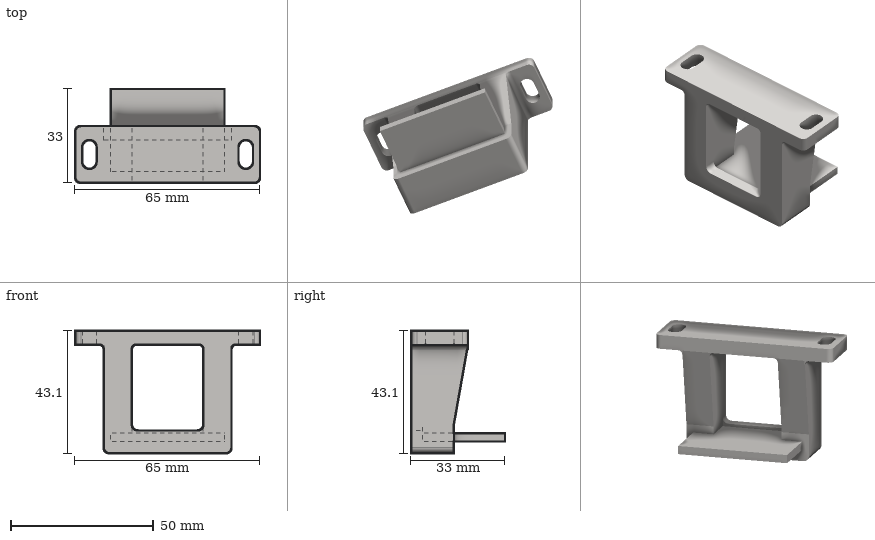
import cadquery as cq

flange_length = 65
flange_depth = 20.0
flange_thickness = 5.0
flange_corner_radius = 2.0
total_height = 43.15
flange_bottom = total_height - flange_thickness

slot_width = 5.0
slot_length = 10.0
slot_edge_margin = 2.55
slot_offset = flange_length / 2 - slot_edge_margin - slot_width / 2

frame_width = 45.0
frame_foot_depth = 15.0
taper_start_height = 9.95
frame_corner_radius = 2.0
flange_root_radius = 1.5

window_width = 25.0
window_height = 30.0
window_top_radius = 1.5
window_bottom_radius = 2.0
window_bottom = flange_bottom - window_height
sill_depth = 4.0

shelf_width = 40.0
shelf_thickness = 3.0
shelf_bottom = 4.1
shelf_top = shelf_bottom + shelf_thickness
shelf_back = 33.0


def block(width, front, back, bottom, top):
    """Box centred on X, spanning the given Y and Z limits."""
    return cq.Workplane("XY").box(
        width, back - front, top - bottom, centered=(True, False, False)
    ).translate((0, front, bottom))


def make_flange():
    flange = block(flange_length, 0, flange_depth, flange_bottom, total_height)
    return flange.edges("|Z").fillet(flange_corner_radius)


def make_frame():
    """Side profile with a tapered back, extruded across the frame width."""
    profile = [
        (0, 0),
        (frame_foot_depth, 0),
        (frame_foot_depth, taper_start_height),
        (flange_depth, flange_bottom),
        (0, flange_bottom),
    ]
    frame = cq.Workplane("YZ").polyline(profile).close().extrude(frame_width / 2, both=True)
    return frame.edges("|Y and <Z").fillet(frame_corner_radius)


def make_flange_root(side):
    """Concave fillet between one side of the frame and the flange underside."""
    wall = side * frame_width / 2
    arc_center_x = wall + side * flange_root_radius
    arc_center_z = flange_bottom - flange_root_radius
    corner = block(flange_root_radius, 0, flange_depth, arc_center_z, flange_bottom)
    corner = corner.translate((wall + side * flange_root_radius / 2, 0, 0))
    round_cut = (
        cq.Workplane("XZ")
        .center(arc_center_x, arc_center_z)
        .circle(flange_root_radius)
        .extrude(-flange_depth)
    )
    return corner.cut(round_cut)


def make_window():
    window = block(window_width, 0, flange_depth, window_bottom, flange_bottom)
    window = window.edges("|Y and >Z").fillet(window_top_radius)
    return window.edges("|Y and <Z").fillet(window_bottom_radius)


def make_sill_step():
    """Lowers the window floor behind the sill to the top of the shelf."""
    window_middle = window_bottom + window_height / 2
    return block(window_width, sill_depth, flange_depth, shelf_top, window_middle)


def make_mounting_slots():
    return (
        cq.Workplane("XY", origin=(0, flange_depth / 2, flange_bottom))
        .pushPoints([(-slot_offset, 0), (slot_offset, 0)])
        .slot2D(slot_length, slot_width, 90)
        .extrude(flange_thickness)
    )


def make_shelf():
    return block(shelf_width, sill_depth, shelf_back, shelf_bottom, shelf_top)


def make_housing(shelf):
    housing = make_flange().union(make_frame())
    for side in (-1, 1):
        housing = housing.union(make_flange_root(side))
    housing = housing.cut(make_window()).cut(make_sill_step())
    return housing.cut(make_mounting_slots()).cut(shelf)


shelf = make_shelf()
housing = make_housing(shelf)
result = cq.Compound.makeCompound([housing.solids().val(), shelf.val()])